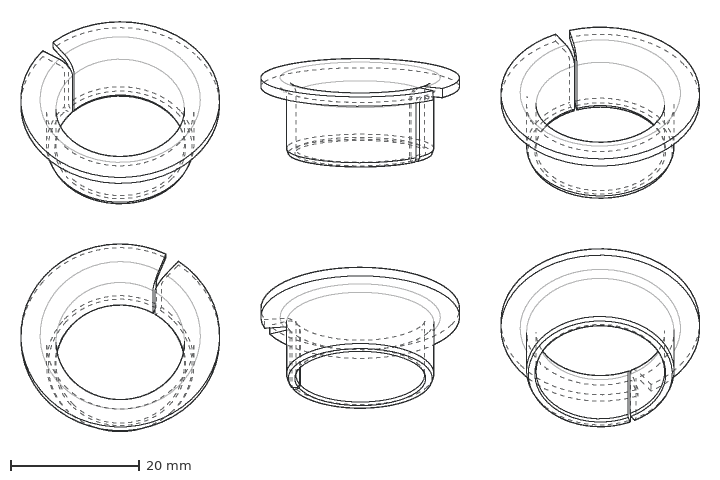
import cadquery as cq
import math

flange_diameter = 30.98
sleeve_diameter = 23.0
wall = 1.5
height = 12.0
outer_bend_radius = 1.0
chamfer_height = 0.75
chamfer_angle = 20.0
bore_chamfer_height = 0.53
slit_half_angle = 10.0
slit_width_at_bore = 0.37

flange_radius = flange_diameter / 2
sleeve_radius = sleeve_diameter / 2
bore_radius = sleeve_radius - wall
inner_bend_radius = outer_bend_radius + wall
bend_center_radius = sleeve_radius + outer_bend_radius
bend_center_z = height - inner_bend_radius
chamfer_slope = math.tan(math.radians(chamfer_angle))
chamfer_width = chamfer_height * chamfer_slope
bore_chamfer_width = bore_chamfer_height * chamfer_slope
diagonal = math.sqrt(0.5)


def bend_midpoint(radius):
    """Middle of a quarter bend joining the sleeve to the flange."""
    return (bend_center_radius - radius * diagonal, bend_center_z + radius * diagonal)


def make_flanged_sleeve():
    """Revolve the wall profile, with concentric bends, around Z, with the seam inside the slit."""
    profile = (
        cq.Workplane("XZ")
        .moveTo(bore_radius, bore_chamfer_height)
        .lineTo(bore_radius + bore_chamfer_width, 0)
        .lineTo(sleeve_radius - chamfer_width, 0)
        .lineTo(sleeve_radius, chamfer_height)
        .lineTo(sleeve_radius, bend_center_z)
        .threePointArc(bend_midpoint(outer_bend_radius), (bend_center_radius, height - wall))
        .lineTo(flange_radius, height - wall)
        .lineTo(flange_radius, height)
        .lineTo(bend_center_radius, height)
        .threePointArc(bend_midpoint(inner_bend_radius), (bore_radius, bend_center_z))
        .close()
    )
    sleeve = profile.revolve(360, (0, 0, 0), (0, 1, 0))
    return sleeve.rotate((0, 0, 0), (0, 0, 1), 180)


def make_slit():
    """Full-height wedge on the -X side that widens outward."""
    slope = math.tan(math.radians(slit_half_angle))
    tip_x = -bore_radius + slit_width_at_bore / 2 / slope
    end_x = -flange_radius - wall
    end_half_width = (tip_x - end_x) * slope
    outline = [(tip_x, 0), (end_x, end_half_width), (end_x, -end_half_width)]
    return cq.Workplane("XY").polyline(outline).close().extrude(height)


result = make_flanged_sleeve().cut(make_slit())